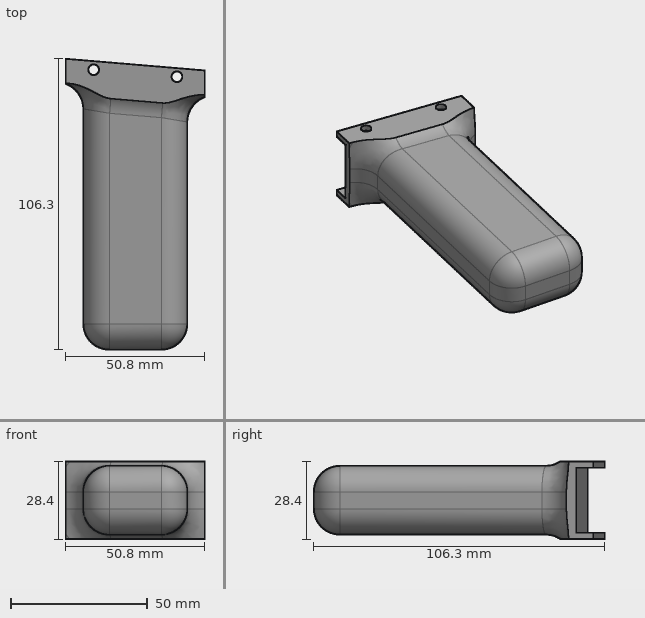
import cadquery as cq
import math

total_length = 106.3
bracket_width = 50.8
bracket_height = 28.4

grip_width = 38.0
grip_height = 25.2
grip_radius = 9.6

tilt_slope = math.tan(math.radians(4.8))
bracket_depth = 8.9
channel_depth = 6.2
flange_thickness = 2.3
root_radius = 9.6

hole_diameter = 3.8
hole_spacing = 30.4
hole_edge_distance = 3.2

margin = 21.3

selection_gap = 1.1


def back_edge_y(x):
    """Y of the sloping back edge at position x."""
    return total_length - tilt_slope * (x + bracket_width / 2)


def sloped_slab(width, front_depth, back_depth, height):
    """Slab between two depths measured along Y from the back edge."""
    left = -width / 2
    right = width / 2
    return (
        cq.Workplane("XY")
        .polyline([
            (left, back_edge_y(left) - front_depth),
            (right, back_edge_y(right) - front_depth),
            (right, back_edge_y(right) - back_depth),
            (left, back_edge_y(left) - back_depth),
        ])
        .close()
        .extrude(height / 2, both=True)
    )


def make_grip():
    """Rounded bar that reaches into the middle of the bracket depth."""
    length = back_edge_y(0) - bracket_depth / 2
    return (
        cq.Workplane("XY")
        .box(grip_width, length, grip_height)
        .translate((0, length / 2, 0))
        .edges("|Y").fillet(grip_radius)
        .faces("<Y").edges().fillet(grip_radius)
    )


def make_flared_body():
    """Grip blended into an oversize plate, then trimmed to the bracket outline."""
    plate_width = bracket_width + 2 * margin
    plate_height = bracket_height + 2 * margin
    body = make_grip().union(sloped_slab(plate_width, bracket_depth, 0, plate_height))

    front_y = back_edge_y(0) - bracket_depth
    root_reach = tilt_slope * grip_width / 2 + selection_gap
    root_zone = cq.selectors.BoxSelector(
        (-grip_width / 2 - selection_gap, front_y - root_reach, -grip_height / 2 - selection_gap),
        (grip_width / 2 + selection_gap, front_y + root_reach, grip_height / 2 + selection_gap),
    )
    body = body.edges(root_zone).fillet(root_radius)

    outline = (
        cq.Workplane("XY")
        .box(bracket_width, total_length, bracket_height)
        .translate((0, total_length / 2, 0))
    )
    return body.intersect(outline)


def make_holes():
    """Vertical cutters near the back edge, one on each side."""
    hole_xs = (-hole_spacing / 2, hole_spacing / 2)
    centers = [(x, back_edge_y(x) - hole_edge_distance) for x in hole_xs]
    return (
        cq.Workplane("XY")
        .pushPoints(centers)
        .circle(hole_diameter / 2)
        .extrude(bracket_height, both=True)
    )


channel = sloped_slab(
    bracket_width + 2 * margin,
    channel_depth,
    -margin,
    bracket_height - 2 * flange_thickness,
)

result = make_flared_body().cut(channel).cut(make_holes())